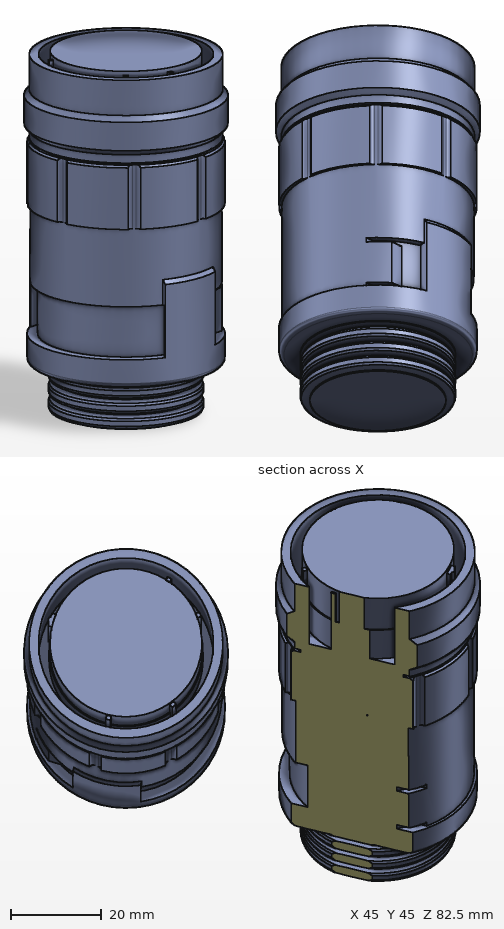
import cadquery as cq
import math

total_height = 82.5
flange_bottom_z = 11.1
flange_thickness = 0.25
collar_top_z = 17.8
body_shoulder_z = 29.8
tab_top_z = 35.55
grip_bottom_z = 47.7
grip_top_z = 62.3
shell_bottom_z = 62.8
bead_bottom_z = 64.7
bead_top_z = 73.7
shell_top_z = 81.75

bead_radius = 22.5
grip_radius = 21.9
collar_radius = grip_radius
shell_radius = 21.4
body_radius = 21.2
groove_radius = 20.5
waist_radius = 19.55
thread_radius = 17.2
thread_root_radius = 15.0

bead_chamfer_height = 1.2
grip_chamfer = 0.5
collar_fillet = 1.1

ridge_count = 3
first_ridge_z = 1.8
last_ridge_z = 8.8
ridge_pitch = (last_ridge_z - first_ridge_z) / (ridge_count - 1)
ridge_root_half = 1.5
ridge_shoulder_half = 1.15
ridge_crest_half = 0.6
ridge_shoulder_radius = 16.9

slot_count = 8
slot_floor_half = 0.4
slot_wall_radius = 1.1

tab_min_y = -9.7
tab_max_y = 5.45
tab_chamfer_height = 1.0
tab_chamfer_depth = collar_radius - body_radius
tab_inner_x = 19.3

pad_half_width = 13.4
block_half_width = 17.25
block_margin = 1.0

recess_radius = 19.3
recess_depth = 16.5
recess_floor_z = shell_top_z - recess_depth
insert_radius = 16.75
insert_base_radius = 17.0
insert_base_top_z = recess_floor_z + recess_depth / 2
key_radius = 17.65
key_drop = 0.9
key_top_z = total_height - key_drop
main_key_angle = 90
main_key_width = 3.0
key_rib_radius = 0.8
key_rib_center = 17.2
small_key_angles = [185, 235, 310, 345]
small_key_width = 1.1


def cylinder(radius, bottom, top):
    return cq.Workplane("XY").workplane(offset=bottom).circle(radius).extrude(top - bottom)


def block(x_range, y_range, z_range):
    size = [high - low for low, high in (x_range, y_range, z_range)]
    corner = (x_range[0], y_range[0], z_range[0])
    return cq.Workplane("XY").box(*size, centered=False).translate(corner)


def make_thread():
    """Root cylinder with separate parallel ridges."""
    outline = cq.Workplane("XZ").moveTo(0, 0).lineTo(thread_root_radius, 0)
    for i in range(ridge_count):
        z = first_ridge_z + i * ridge_pitch
        outline = (
            outline.lineTo(thread_root_radius, z - ridge_root_half)
            .lineTo(ridge_shoulder_radius, z - ridge_shoulder_half)
            .lineTo(thread_radius, z - ridge_crest_half)
            .lineTo(thread_radius, z + ridge_crest_half)
            .lineTo(ridge_shoulder_radius, z + ridge_shoulder_half)
            .lineTo(thread_root_radius, z + ridge_root_half)
        )
    outline = outline.lineTo(thread_root_radius, flange_bottom_z).lineTo(0, flange_bottom_z)
    return outline.close().revolve(360, (0, 0, 0), (0, 1, 0))


def make_collar():
    """Thin flange with the rounded collar above it."""
    collar_bottom_z = flange_bottom_z + flange_thickness
    flange = cylinder(thread_radius, flange_bottom_z, collar_bottom_z)
    collar = cylinder(collar_radius, collar_bottom_z, collar_top_z)
    return flange.union(collar.faces("<Z").edges().fillet(collar_fillet))


def make_tabs():
    """Two tabs with a flat inner face beside the waist and a chamfered top edge."""
    ring = cylinder(collar_radius, collar_top_z, tab_top_z)
    ring = ring.faces(">Z").edges().chamfer(tab_chamfer_height, tab_chamfer_depth)
    y_range = (tab_min_y, tab_max_y)
    z_range = (collar_top_z, tab_top_z)
    strip = block((-collar_radius, collar_radius), y_range, z_range)
    gap = block((-tab_inner_x, tab_inner_x), y_range, (collar_top_z, body_shoulder_z))
    return ring.intersect(strip).cut(gap)


def make_waist():
    """Reduced section with the full-radius pad and block on its +Y side."""
    pad = block(
        (-pad_half_width, pad_half_width), (0, body_radius), (collar_top_z, body_shoulder_z)
    )
    wide_block = block(
        (-block_half_width, block_half_width),
        (0, body_radius),
        (collar_top_z + block_margin, body_shoulder_z - block_margin),
    )
    outer = cylinder(body_radius, collar_top_z, body_shoulder_z)
    raised = pad.union(wide_block).intersect(outer)
    return cylinder(waist_radius, collar_top_z, body_shoulder_z).union(raised)


def make_grip():
    """Slotted ring; each slot has a narrow floor and concave walls."""
    ring = cylinder(grip_radius, grip_bottom_z, grip_top_z).faces(">Z").edges().chamfer(grip_chamfer)
    floor = math.sqrt(body_radius**2 - slot_floor_half**2)
    wall_top = floor + slot_wall_radius
    slot_half = slot_floor_half + slot_wall_radius
    slot = (
        cq.Workplane("XY")
        .workplane(offset=grip_bottom_z)
        .moveTo(wall_top, -slot_half)
        .radiusArc((floor, -slot_floor_half), slot_wall_radius)
        .lineTo(floor, slot_floor_half)
        .radiusArc((wall_top, slot_half), slot_wall_radius)
        .close()
        .extrude(grip_top_z - grip_bottom_z)
    )
    for i in range(slot_count):
        ring = ring.cut(slot.rotate((0, 0, 0), (0, 0, 1), i * 360 / slot_count))
    return ring


def make_shell():
    """Top sleeve with a chamfered bead around it and a blind recess."""
    bead_step = bead_radius - shell_radius
    bead = cylinder(bead_radius, bead_bottom_z, bead_top_z)
    bead = bead.faces("<Z or >Z").edges().chamfer(bead_chamfer_height, bead_step)
    sleeve = cylinder(shell_radius, shell_bottom_z, shell_top_z).union(bead)
    return sleeve.cut(cylinder(recess_radius, recess_floor_z, shell_top_z))


def make_key(angle, width):
    key = block((0, key_radius), (-width / 2, width / 2), (recess_floor_z, key_top_z))
    key = key.intersect(cylinder(key_radius, recess_floor_z, key_top_z))
    return key.rotate((0, 0, 0), (0, 0, 1), angle)


def make_insert():
    """Stepped insert with several narrow keys and a wide one that carries a round rib."""
    insert = cylinder(insert_radius, recess_floor_z, total_height)
    base = cylinder(insert_base_radius, recess_floor_z, insert_base_top_z)
    rib = cylinder(key_rib_radius, recess_floor_z, key_top_z).translate((key_rib_center, 0, 0))
    rib = rib.rotate((0, 0, 0), (0, 0, 1), main_key_angle)
    insert = insert.union(base).union(rib).union(make_key(main_key_angle, main_key_width))
    for angle in small_key_angles:
        insert = insert.union(make_key(angle, small_key_width))
    return insert


body = cylinder(body_radius, body_shoulder_z, grip_top_z)
neck = cylinder(groove_radius, grip_top_z, shell_bottom_z)
result = (
    make_thread()
    .union(make_collar())
    .union(make_waist())
    .union(make_tabs())
    .union(body)
    .union(make_grip())
    .union(neck)
    .union(make_shell())
    .union(make_insert())
)